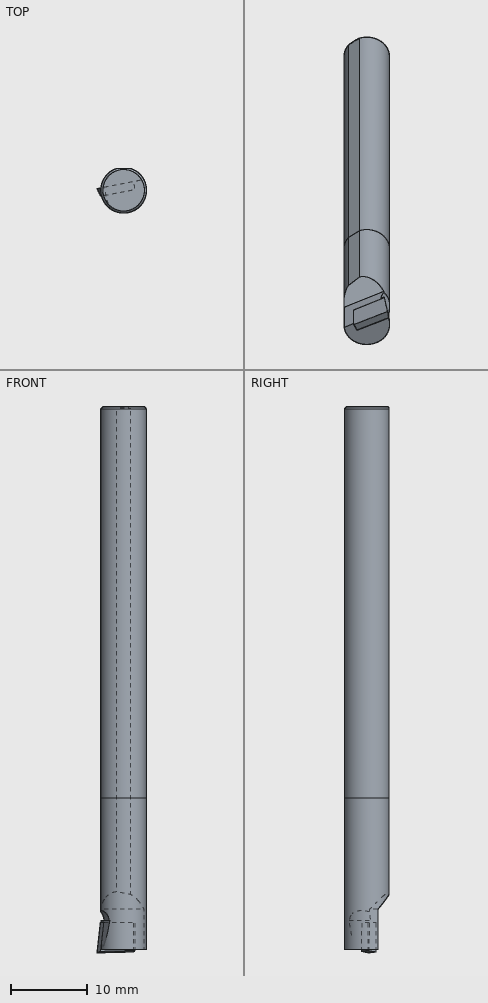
import cadquery as cq
import math

total_length = 71.0
bar_radius = 3.0
end_chamfer = 0.3
back_flat_y = 2.85
neck_bottom_z = 0.4
neck_top_z = 20.15

point_x = -3.5
point_y = 0.2
rake_angle = 11.0
flank_angle = 24.5
flank_taper = 0.12
end_slope_x = 0.06
end_slope_y = 0.18

rake_top_z = 5.7
ramp_slope = 1.1

gullet_bottom_z = 4.2
gullet_top_z = 5.95
gullet_depth = 0.4
gullet_angle = 14.0
gullet_radius = gullet_top_z - gullet_bottom_z

insert_thickness = 1.1
insert_top_z = 4.0
insert_back_x = 1.3

margin = 7.1
flank_slope = math.tan(math.radians(flank_angle))


def round_bar(bottom_z, top_z):
    """Plain round length of the bar."""
    return cq.Workplane("XY").workplane(offset=bottom_z).circle(bar_radius).extrude(top_z - bottom_z)


def with_back_flat(rod):
    """Trim the +Y side of a bar to the long flat."""
    waste = cq.Workplane("XY").box(
        2 * margin, margin, total_length, centered=(True, False, False)
    )
    return rod.cut(waste.translate((0, back_flat_y, 0)))


def turned_to_rake(shape):
    """Move a tool from the cutting point's own frame into place on the bar."""
    return shape.rotate((0, 0, 0), (0, 0, 1), rake_angle).translate((point_x, point_y, 0))


def chip_clearance():
    """Space above the rake face, closed at the top by a ramp."""
    profile = (
        cq.Workplane("YZ")
        .moveTo(0, -margin)
        .lineTo(0, rake_top_z)
        .lineTo(margin, rake_top_z + ramp_slope * margin)
        .lineTo(margin, -margin)
        .close()
    )
    return turned_to_rake(profile.extrude(2 * margin, both=True))


def flank_clearance():
    """Space outside the leaning flank face, up to the gullet floor."""
    bottom_z = -0.7

    def section(z):
        edge_x = point_x + flank_taper * z
        shift = flank_slope * margin
        return [
            (edge_x - shift, point_y + margin),
            (edge_x + shift, point_y - margin),
            (edge_x - 2 * margin, point_y - margin),
            (edge_x - 2 * margin, point_y + margin),
        ]

    return (
        cq.Workplane("XY")
        .workplane(offset=bottom_z)
        .polyline(section(bottom_z))
        .close()
        .workplane(offset=gullet_bottom_z - bottom_z)
        .polyline(section(gullet_bottom_z))
        .close()
        .loft(ruled=True)
    )


def gullet():
    """Groove across the flank with a flat lower ledge and a concave upper end."""
    floor_x = flank_taper * gullet_bottom_z + gullet_depth
    arc_x = floor_x - gullet_radius
    bend = gullet_radius * math.sqrt(0.5)
    groove = (
        cq.Workplane("XZ")
        .moveTo(-margin, gullet_bottom_z)
        .lineTo(floor_x, gullet_bottom_z)
        .threePointArc((arc_x + bend, gullet_bottom_z + bend), (arc_x, gullet_top_z))
        .lineTo(-margin, gullet_top_z)
        .close()
        .extrude(margin, both=True)
    )
    return groove.rotate((0, 0, 0), (0, 0, 1), gullet_angle).translate((point_x, point_y, 0))


def insert_blank():
    """Flat plate lying under the rake face."""
    plate_length = (insert_back_x - point_x) / math.cos(math.radians(rake_angle))
    plate = cq.Workplane("XY").box(
        plate_length + margin, insert_thickness, insert_top_z + margin, centered=False
    )
    return turned_to_rake(plate.translate((-margin, -insert_thickness, -margin)))


def above_end_face():
    """Block whose underside is the insert's sloped end face."""
    end_face = cq.Plane(
        origin=(point_x, point_y, 0),
        xDir=(1, 0, end_slope_x),
        normal=(-end_slope_x, end_slope_y, 1),
    )
    return cq.Workplane(end_face).rect(4 * margin, 4 * margin).extrude(2 * margin)


def make_shank():
    rod = round_bar(neck_top_z, total_length)
    return with_back_flat(rod.faces(">Z").chamfer(end_chamfer))


def make_insert():
    return insert_blank().cut(flank_clearance()).intersect(above_end_face())


def make_neck():
    neck = with_back_flat(round_bar(neck_bottom_z, neck_top_z))
    for clearance in (chip_clearance(), flank_clearance(), gullet(), insert_blank()):
        neck = neck.cut(clearance)
    return neck


shank = make_shank()
neck = make_neck()
insert = make_insert()
result = cq.Compound.makeCompound([shank.val(), neck.val(), insert.val()])